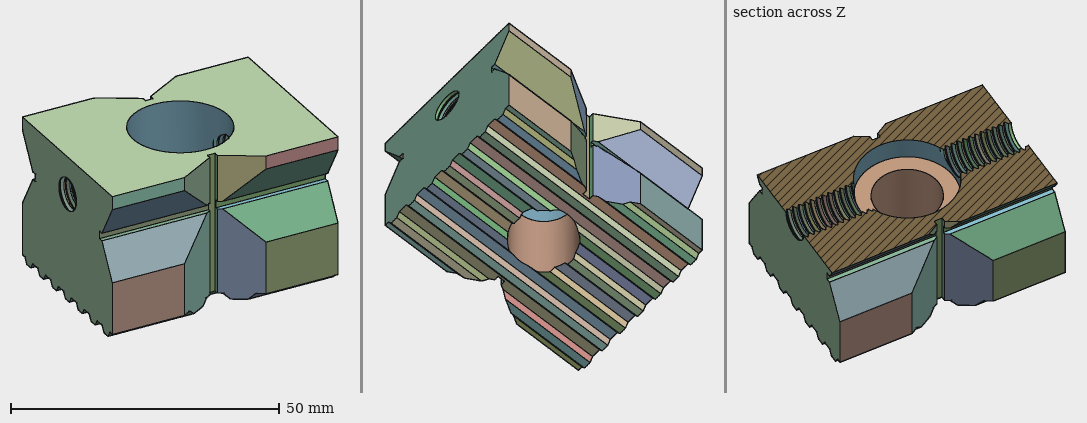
import cadquery as cq
import math

WIDTH = 35.0
LENGTH = 48.0
HEIGHT = 30.625

TOOTH_COUNT = 7
TOOTH_PITCH = 5.0
TOOTH_HEIGHT = 1.25
TOOTH_TIP_WIDTH = 1.6
TOOTH_FLANK_ANGLE = 30.0

V_HALF_ANGLE = 60.0
RELIEF_WIDTH = 1.6
RELIEF_BEYOND_APEX = 0.5
HORIZONTAL_V_DEPTH = 4.5
HORIZONTAL_V_Z = 20.05
VERTICAL_V_DEPTH = 5.0

BORE_DIAMETER = 13.5
COUNTERBORE_DIAMETER = 20.0
COUNTERBORE_DEPTH = 12.5

CROSS_HOLE_DIAMETER = 6.647
CROSS_HOLE_Z = HEIGHT - 8.0
THREAD_MAJOR_DIAMETER = 8.0
THREAD_PITCH = 1.25
THREAD_HALF_ANGLE = 30.0
THREAD_ROOT_FLAT = THREAD_PITCH / 8


def tan_deg(angle):
    return math.tan(math.radians(angle))


def make_block():
    body_height = HEIGHT - TOOTH_HEIGHT
    return cq.Workplane("XY").workplane(offset=TOOTH_HEIGHT).rect(WIDTH, LENGTH).extrude(body_height)


def make_tooth(x):
    half_tip = TOOTH_TIP_WIDTH / 2
    half_root = half_tip + TOOTH_HEIGHT * tan_deg(TOOTH_FLANK_ANGLE)
    outline = [
        (x - half_root, TOOTH_HEIGHT),
        (x - half_tip, 0),
        (x + half_tip, 0),
        (x + half_root, TOOTH_HEIGHT),
    ]
    return cq.Workplane("XZ").polyline(outline).close().extrude(LENGTH / 2, both=True)


def v_groove_outline(side, apex_depth, centre):
    """Closed groove outline on the X = side * WIDTH / 2 face, symmetric about the given centre."""
    half_relief = RELIEF_WIDTH / 2
    half_mouth = apex_depth * tan_deg(V_HALF_ANGLE)
    apex_x = WIDTH / 2 - apex_depth
    face_x = side * WIDTH / 2
    root_x = side * (apex_x + half_relief / tan_deg(V_HALF_ANGLE))
    relief_x = side * (apex_x - RELIEF_BEYOND_APEX)
    return [
        (face_x, centre + half_mouth),
        (root_x, centre + half_relief),
        (relief_x, centre + half_relief),
        (relief_x, centre - half_relief),
        (root_x, centre - half_relief),
        (face_x, centre - half_mouth),
    ]


def make_horizontal_groove(side):
    outline = v_groove_outline(side, HORIZONTAL_V_DEPTH, HORIZONTAL_V_Z)
    return cq.Workplane("XZ").polyline(outline).close().extrude(LENGTH / 2, both=True)


def make_vertical_groove(side):
    outline = v_groove_outline(side, VERTICAL_V_DEPTH, 0)
    return cq.Workplane("XY").polyline(outline).close().extrude(HEIGHT)


def make_screw_hole():
    bore = cq.Workplane("XY").circle(BORE_DIAMETER / 2).extrude(HEIGHT)
    counterbore = (
        cq.Workplane("XY")
        .workplane(offset=HEIGHT - COUNTERBORE_DEPTH)
        .circle(COUNTERBORE_DIAMETER / 2)
        .extrude(COUNTERBORE_DEPTH)
    )
    return bore.union(counterbore)


def make_threaded_hole():
    """Cross hole with ring grooves, as one profile revolved about the hole axis."""
    hole_radius = CROSS_HOLE_DIAMETER / 2
    major_radius = THREAD_MAJOR_DIAMETER / 2
    half_root = THREAD_ROOT_FLAT / 2
    half_groove = half_root + (major_radius - hole_radius) * tan_deg(THREAD_HALF_ANGLE)
    groove_count = math.floor(LENGTH / THREAD_PITCH)
    first_y = -LENGTH / 2 + THREAD_PITCH / 2

    profile = [(0, -LENGTH / 2), (hole_radius, -LENGTH / 2)]
    for index in range(groove_count):
        y = first_y + index * THREAD_PITCH
        profile += [
            (hole_radius, y - half_groove),
            (major_radius, y - half_root),
            (major_radius, y + half_root),
            (hole_radius, y + half_groove),
        ]
    profile += [(hole_radius, LENGTH / 2), (0, LENGTH / 2)]

    cutter = cq.Workplane("XY").polyline(profile).close().revolve(360, (0, 0, 0), (0, 1, 0))
    return cutter.translate((0, 0, CROSS_HOLE_Z))


result = make_block()

for tooth_index in range(TOOTH_COUNT):
    tooth_x = (tooth_index - (TOOTH_COUNT - 1) / 2) * TOOTH_PITCH
    result = result.union(make_tooth(tooth_x))

for groove_side in (-1, 1):
    result = result.cut(make_horizontal_groove(groove_side))
    result = result.cut(make_vertical_groove(groove_side))

result = result.cut(make_screw_hole())
result = result.cut(make_threaded_hole())